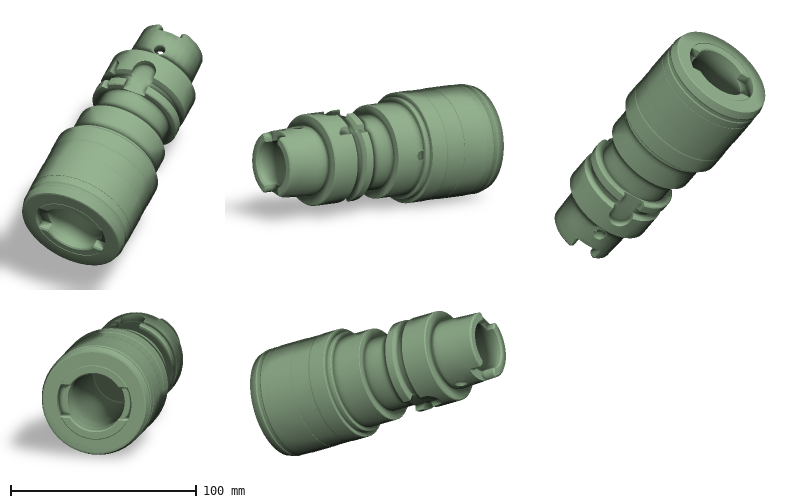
import cadquery as cq
import math


OVERALL_LENGTH = 134.9

SHANK_LENGTH = 25.0
SHANK_BASE_RADIUS = 19.2
SHANK_TIP_RADIUS = 18.1
SHANK_TIP_CHAMFER = 0.8
SHANK_TAPER_START = 2.0
SHANK_RELIEF_RADIUS = 18.9
SHANK_UNDERCUT_WIDTH = 0.8
SHANK_UNDERCUT_RADIUS = 18.6
SHANK_BORE_RADIUS = 13.0

FLANGE_RADIUS = 25.0
FLANGE_LENGTH = 25.9
FLANGE_CHAMFER = 0.5
GROOVE_START = -14.8
GROOVE_END = -21.2
GROOVE_RADIUS = 21.5
GROOVE_FLANK_LENGTH = 1.3

NECK_RADIUS = 20.5
COLLAR_RADIUS = 25.5
COLLAR_START = -41.8
RING_RADIUS = 27.8
RING_START = -58.4
STEP_CHAMFER = 0.3

NUT_DIAMETER = 60.3
NUT_RADIUS = NUT_DIAMETER / 2
NUT_WAIST_RADIUS = 30.0
NUT_START = -61.4
NUT_REAR_BAND_END = -70.8
NUT_BAND_CHAMFER = 0.7
NUT_FRONT_BAND_START = -82.8
NUT_FRONT_BAND_END = -97.7
NUT_GROOVE_START = -102.1
NUT_GROOVE_FLANK_LENGTH = 0.7
NUT_GROOVE_RADIUS = 29.5
NUT_GROOVE_LIP = -104.5
NUT_NOSE_START = -105.6
NUT_NOSE_RADIUS = 28.7
NUT_NOSE_CHAMFER = 0.3
NUT_FACE_RADIUS = 27.9
FRONT_FACE = SHANK_LENGTH - OVERALL_LENGTH

BORE_RADIUS = 15.8
BORE_FLOOR_CHAMFER = 0.7
BORE_MOUTH_CHAMFER = 0.7
INSERT_RADIUS = 20.6
INSERT_CHAMFER = 0.4
WRENCH_SLOT_HALF_HEIGHT = 8.5
WRENCH_SLOT_DEPTH = 5.4
WRENCH_SLOT_CHAMFER = 0.8

CUTTER_RADIUS = 6.3
KEYWAY_CENTRE_Y = -12.7
KEYWAY_FLOOR_Z = 20.9
FLOOR_FILLET = 0.7
NOTCH_OFFSET = 15.6

TIP_SLOT_HALF_WIDTH = 5.3
TIP_SLOT_EDGE_RADIUS = 3.2
TIP_SLOT_CORNER_RADIUS = 2.2
TIP_SLOT_TOP_DEPTH = 4.6
TIP_SLOT_BOTTOM_DEPTH = 7.3
TIP_SLOT_EDGE_Z = 16.5

CROSS_HOLE_RADIUS = 3.0
CROSS_HOLE_CHAMFER = 0.47
CROSS_HOLE_Y = 7.5

SIDE_HOLE_RADIUS = 2.5
SIDE_HOLE_Y = -56.9
SIDE_HOLE_DEPTH = 1.3


def turned(outline):
    """Revolve a list of (radius, y) points, closed along the axis, about Y."""
    ends = [(0, outline[0][1])] + outline + [(0, outline[-1][1])]
    return cq.Workplane("XY").polyline(ends).close().revolve(360, (0, 0, 0), (0, 1, 0))


def make_shank():
    return turned([
        (SHANK_TIP_RADIUS, SHANK_LENGTH),
        (SHANK_BASE_RADIUS, SHANK_TAPER_START),
        (SHANK_RELIEF_RADIUS, SHANK_UNDERCUT_WIDTH),
        (SHANK_UNDERCUT_RADIUS, SHANK_UNDERCUT_WIDTH),
        (SHANK_UNDERCUT_RADIUS, 0),
    ])


def make_flange():
    return turned([
        (FLANGE_RADIUS - FLANGE_CHAMFER, 0),
        (FLANGE_RADIUS, -FLANGE_CHAMFER),
        (FLANGE_RADIUS, GROOVE_START),
        (GROOVE_RADIUS, GROOVE_START - GROOVE_FLANK_LENGTH),
        (GROOVE_RADIUS, GROOVE_END + GROOVE_FLANK_LENGTH),
        (FLANGE_RADIUS, GROOVE_END),
        (FLANGE_RADIUS, FLANGE_CHAMFER - FLANGE_LENGTH),
        (FLANGE_RADIUS - FLANGE_CHAMFER, -FLANGE_LENGTH),
    ])


def make_neck_and_collar():
    return turned([
        (NECK_RADIUS, -FLANGE_LENGTH),
        (NECK_RADIUS, COLLAR_START),
        (COLLAR_RADIUS - STEP_CHAMFER, COLLAR_START),
        (COLLAR_RADIUS, COLLAR_START - STEP_CHAMFER),
        (COLLAR_RADIUS, RING_START),
    ])


def make_nut():
    return turned([
        (RING_RADIUS - STEP_CHAMFER, RING_START),
        (RING_RADIUS, RING_START - STEP_CHAMFER),
        (RING_RADIUS, NUT_START),
        (NUT_RADIUS - STEP_CHAMFER, NUT_START),
        (NUT_RADIUS, NUT_START - STEP_CHAMFER),
        (NUT_RADIUS, NUT_REAR_BAND_END),
        (NUT_WAIST_RADIUS, NUT_REAR_BAND_END - NUT_BAND_CHAMFER),
        (NUT_WAIST_RADIUS, NUT_FRONT_BAND_START),
        (NUT_RADIUS, NUT_FRONT_BAND_START),
        (NUT_RADIUS, NUT_FRONT_BAND_END),
        (NUT_WAIST_RADIUS, NUT_FRONT_BAND_END),
        (NUT_WAIST_RADIUS, NUT_GROOVE_START),
        (NUT_GROOVE_RADIUS, NUT_GROOVE_START - NUT_GROOVE_FLANK_LENGTH),
        (NUT_GROOVE_RADIUS, NUT_GROOVE_LIP),
        (NUT_WAIST_RADIUS, NUT_GROOVE_LIP - NUT_GROOVE_FLANK_LENGTH),
        (NUT_WAIST_RADIUS, NUT_NOSE_START),
        (NUT_NOSE_RADIUS, FRONT_FACE + NUT_NOSE_CHAMFER),
        (NUT_FACE_RADIUS, FRONT_FACE),
    ])


def front_bore():
    """Blind bore from the front face, ending level with the back of the collar."""
    return turned([
        (BORE_RADIUS + BORE_MOUTH_CHAMFER, FRONT_FACE),
        (BORE_RADIUS, FRONT_FACE + BORE_MOUTH_CHAMFER),
        (BORE_RADIUS, COLLAR_START - BORE_FLOOR_CHAMFER),
        (BORE_RADIUS - BORE_FLOOR_CHAMFER, COLLAR_START),
    ])


def insert_seam():
    """Small V groove on the front face where the insert meets the nut."""
    return (
        cq.Workplane("XY")
        .polyline([
            (INSERT_RADIUS - INSERT_CHAMFER, FRONT_FACE),
            (INSERT_RADIUS, FRONT_FACE),
            (INSERT_RADIUS, FRONT_FACE + INSERT_CHAMFER),
        ])
        .close()
        .revolve(360, (0, 0, 0), (0, 1, 0))
    )


def wrench_slot():
    """Slot along X across the insert with bevelled long edges, kept inside the insert."""
    half = WRENCH_SLOT_HALF_HEIGHT
    wide = half + WRENCH_SLOT_CHAMFER
    bevel_end = FRONT_FACE + WRENCH_SLOT_CHAMFER
    slot_floor = FRONT_FACE + WRENCH_SLOT_DEPTH
    bar = (
        cq.Workplane("YZ")
        .polyline([
            (FRONT_FACE, -wide),
            (bevel_end, -half),
            (slot_floor, -half),
            (slot_floor, half),
            (bevel_end, half),
            (FRONT_FACE, wide),
        ])
        .close()
        .extrude(INSERT_RADIUS, both=True)
    )
    return bar.intersect(turned([(INSERT_RADIUS, FRONT_FACE), (INSERT_RADIUS, slot_floor)]))


def milled_slot(centre_x, floor_z):
    """Round-ended slot above floor_z, running from the flange out past its -Y face."""
    run_out = -FLANGE_LENGTH
    slot = (
        cq.Workplane("XY", origin=(centre_x, 0, floor_z))
        .moveTo(-CUTTER_RADIUS, run_out)
        .lineTo(-CUTTER_RADIUS, KEYWAY_CENTRE_Y)
        .threePointArc((0, KEYWAY_CENTRE_Y + CUTTER_RADIUS), (CUTTER_RADIUS, KEYWAY_CENTRE_Y))
        .lineTo(CUTTER_RADIUS, run_out)
        .close()
        .extrude(FLANGE_RADIUS)
    )
    return slot.faces("<Z").edges("not <Y").fillet(FLOOR_FILLET)


def keyway():
    return milled_slot(0, KEYWAY_FLOOR_Z)


def orientation_notch():
    return milled_slot(-NOTCH_OFFSET - CUTTER_RADIUS, NOTCH_OFFSET)


def tip_slot(depth):
    """Slot in the +Z wall of the shank tip whose outer edges are rounded outwards."""
    half = TIP_SLOT_HALF_WIDTH
    edge = TIP_SLOT_EDGE_RADIUS
    wide = half + edge
    round_start = TIP_SLOT_EDGE_Z - edge
    arc_offset = edge * (1 - math.sqrt(0.5))
    arc_height = edge * math.sqrt(0.5)
    flared = (
        cq.Workplane("XZ", origin=(0, SHANK_LENGTH, 0))
        .moveTo(-half, 0)
        .lineTo(half, 0)
        .lineTo(half, round_start)
        .threePointArc((half + arc_offset, round_start + arc_height), (wide, TIP_SLOT_EDGE_Z))
        .lineTo(wide, SHANK_BASE_RADIUS)
        .lineTo(-wide, SHANK_BASE_RADIUS)
        .lineTo(-wide, TIP_SLOT_EDGE_Z)
        .threePointArc((-half - arc_offset, round_start + arc_height), (-half, round_start))
        .close()
        .extrude(depth)
    )
    rounded = (
        cq.Workplane("XY")
        .center(0, SHANK_LENGTH)
        .rect(2 * wide, 2 * depth)
        .extrude(SHANK_BASE_RADIUS)
        .edges("|Z and <Y")
        .fillet(TIP_SLOT_CORNER_RADIUS)
    )
    return flared.intersect(rounded)


def cross_hole():
    """Hole along Z through both shank walls, countersunk outside."""
    taper = (SHANK_BASE_RADIUS - SHANK_TIP_RADIUS) / (SHANK_LENGTH - SHANK_TAPER_START)
    wall = SHANK_BASE_RADIUS - taper * (CROSS_HOLE_Y - SHANK_TAPER_START)
    wide = CROSS_HOLE_RADIUS + CROSS_HOLE_CHAMFER
    hole = (
        cq.Workplane("XY")
        .center(0, CROSS_HOLE_Y)
        .circle(CROSS_HOLE_RADIUS)
        .extrude(SHANK_BASE_RADIUS, both=True)
    )
    side_z = math.sqrt(wall**2 - wide**2)
    sink = (
        cq.Workplane("XZ")
        .polyline([
            (0, side_z - CROSS_HOLE_CHAMFER),
            (CROSS_HOLE_RADIUS, side_z - CROSS_HOLE_CHAMFER),
            (wide, side_z),
            (wide, SHANK_BASE_RADIUS),
            (0, SHANK_BASE_RADIUS),
        ])
        .close()
        .revolve(360, (0, 0, 0), (0, 1, 0))
        .translate((0, CROSS_HOLE_Y, 0))
    )
    return hole.union(sink).union(sink.mirror("XY"))


def side_hole():
    return (
        cq.Workplane("YZ", origin=(-COLLAR_RADIUS, 0, 0))
        .center(SIDE_HOLE_Y, 0)
        .circle(SIDE_HOLE_RADIUS)
        .extrude(SIDE_HOLE_DEPTH)
    )


shank = make_shank()
shank = shank.cut(turned([(SHANK_BORE_RADIUS, SHANK_LENGTH), (SHANK_BORE_RADIUS, 0)]))
shank = shank.cut(tip_slot(TIP_SLOT_TOP_DEPTH))
shank = shank.cut(tip_slot(TIP_SLOT_BOTTOM_DEPTH).mirror("XY"))
shank = shank.faces(">Y").chamfer(SHANK_TIP_CHAMFER)
shank = shank.cut(cross_hole())

flange = make_flange().cut(keyway()).cut(keyway().mirror("XY")).cut(orientation_notch())

collar = make_neck_and_collar().cut(side_hole())

nut = make_nut()

result = shank.union(flange).union(collar).union(nut)
result = result.cut(front_bore()).cut(wrench_slot()).cut(insert_seam())